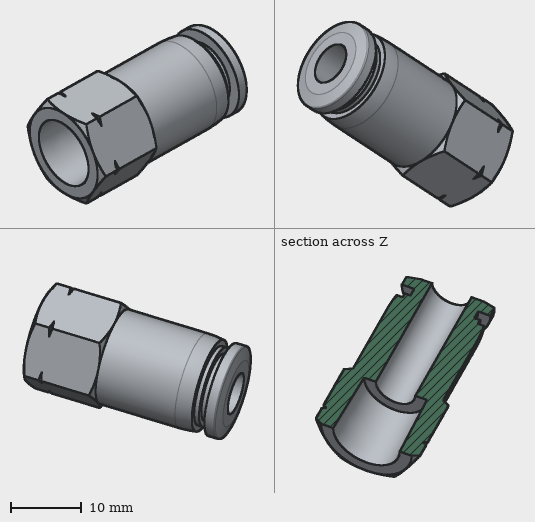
import cadquery as cq
import math

length = 29.45
across_flats = 14.0
hex_length = 10.95
corner_radius = across_flats / math.sqrt(3)
hex_chamfer_depth = 0.6

groove_position = 2.95
groove_half_width = 0.25
groove_bottom_radius = 7.5

body_radius = across_flats / 2
crown_start = 23.0
body_end = 25.47
crown_end_radius = 6.77
collar_radius = 5.85
collar_end = 26.2
neck_radius = 4.98
flange_start = 27.42
flange_radius = 6.85
flange_edge = 28.85
shoulder_radius = 6.7
shoulder_position = 29.05
end_face_radius = 4.9

mouth_radius = 5.12
bore_radius = 4.83
bore_depth = 10.0
through_radius = 3.03


def revolve_profile(points):
    """Turn a closed (radius, Y) outline about the Y axis."""
    return cq.Workplane("XY").polyline(points).close().revolve(360, (0, 0, 0), (0, 1, 0))


def make_hexagon():
    prism = (
        cq.Workplane("XZ")
        .polygon(6, 2 * corner_radius)
        .extrude(-hex_length)
    )
    chamfer_envelope = revolve_profile([
        (0, 0),
        (body_radius, 0),
        (corner_radius, hex_chamfer_depth),
        (corner_radius, hex_length - hex_chamfer_depth),
        (body_radius, hex_length),
        (0, hex_length),
    ])
    groove = revolve_profile([
        (groove_bottom_radius, groove_position),
        (corner_radius, groove_position - groove_half_width),
        (corner_radius, groove_position + groove_half_width),
    ])
    return prism.intersect(chamfer_envelope).cut(groove)


def make_body():
    crowned_barrel = (
        cq.Workplane("XY")
        .moveTo(0, hex_length)
        .lineTo(body_radius, hex_length)
        .lineTo(body_radius, crown_start)
        .tangentArcPoint((crown_end_radius, body_end), relative=False)
    )
    stepped_neck = (
        crowned_barrel
        .lineTo(collar_radius, body_end)
        .lineTo(collar_radius, collar_end)
        .lineTo(neck_radius, collar_end)
        .lineTo(neck_radius, flange_start)
    )
    rounded_flange = (
        stepped_neck
        .lineTo(flange_radius, flange_start)
        .lineTo(flange_radius, flange_edge)
        .tangentArcPoint((shoulder_radius, shoulder_position), relative=False)
        .lineTo(end_face_radius, length)
        .lineTo(0, length)
    )
    return rounded_flange.close().revolve(360, (0, 0, 0), (0, 1, 0))


def make_bore():
    return revolve_profile([
        (0, 0),
        (mouth_radius, 0),
        (bore_radius, bore_depth),
        (through_radius, bore_depth),
        (through_radius, length),
        (0, length),
    ])


result = make_hexagon().union(make_body()).cut(make_bore())